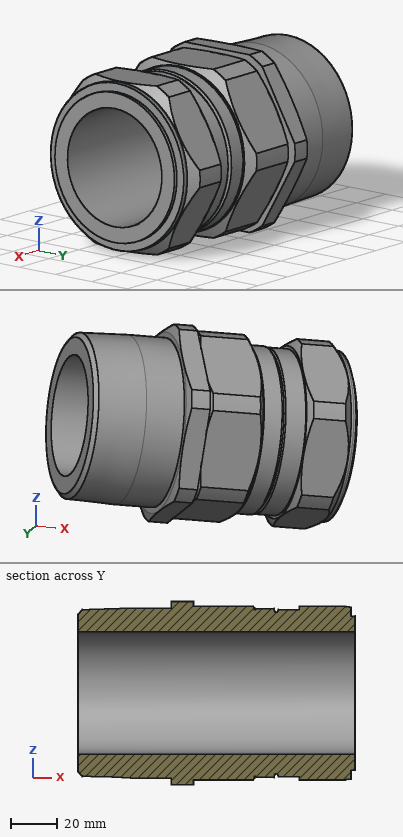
import cadquery as cq
import math


entry_chamfer_end = 1.8
taper_end = 23.0
collar_start = 40.2
collar_end = 49.8
body_hex_end = 76.0
ring_start = 76.4
groove_start = 84.5
groove_end = 86.3
cap_start = 95.3
cap_hex_end = 115.5
rim_step = 116.5
rim_end = 117.7
total_length = 119.4

bore_radius = 26.3
entry_face_radius = 33.9
taper_start_radius = 36.05
thread_radius = 36.75
body_neck_radius = 36.0
body_rear_face_radius = 36.8
ring_radius = 36.5
groove_radius = 35.0
sleeve_radius = 36.1
cap_rim_radius = 37.3
cap_lip_radius = 37.1
seal_radius = 33.3
groove_wall_run = 0.5

collar_flats = 79.0
collar_corner_radius = 86.86 / 2
nut_flats = 75.0
nut_corner_radius = 41.25

collar_chamfer_length = 1.3
collar_face_radius = 39.2
nut_front_chamfer_length = 2.0
nut_front_face_radius = 37.4
body_rear_chamfer_length = 2.8
cap_rear_chamfer_length = 3.8


def revolve_about_x(profile):
    return profile.close().revolve(360, (0, 0, 0), (1, 0, 0))


def turned(start, end, start_radius, end_radius):
    """Solid cylinder or cone between two stations."""
    profile = (
        cq.Workplane("XZ")
        .moveTo(start, 0)
        .lineTo(start, start_radius)
        .lineTo(end, end_radius)
        .lineTo(end, 0)
    )
    return revolve_about_x(profile)


def hexagon(start, end, flats, corner_radius, front_chamfer, front_radius, rear_chamfer, rear_radius):
    """Hexagonal prism with flats facing +Z and -Z, its corners turned and chamfered."""
    corner_diameter = flats / math.cos(math.radians(30))
    prism = (
        cq.Workplane("YZ")
        .workplane(offset=start)
        .polygon(6, corner_diameter)
        .extrude(end - start)
    )
    envelope = (
        cq.Workplane("XZ")
        .moveTo(start, 0)
        .lineTo(start, front_radius)
        .lineTo(start + front_chamfer, corner_radius)
        .lineTo(end - rear_chamfer, corner_radius)
    )
    if rear_chamfer > 0:
        envelope = envelope.lineTo(end, rear_radius)
    envelope = envelope.lineTo(end, 0)
    return prism.intersect(revolve_about_x(envelope))


def threaded_entry():
    chamfer = turned(0, entry_chamfer_end, entry_face_radius, taper_start_radius)
    taper = turned(entry_chamfer_end, taper_end, taper_start_radius, thread_radius)
    thread = turned(taper_end, collar_start, thread_radius, thread_radius)
    return chamfer.union(taper).union(thread)


def collar():
    return hexagon(
        collar_start, collar_end, collar_flats, collar_corner_radius,
        collar_chamfer_length, collar_face_radius, 0, collar_corner_radius,
    )


def body():
    nut = hexagon(
        collar_end, body_hex_end, nut_flats, nut_corner_radius,
        nut_front_chamfer_length, nut_front_face_radius, body_rear_chamfer_length, body_rear_face_radius,
    )
    neck = turned(body_hex_end, ring_start, body_neck_radius, body_neck_radius)
    ring = turned(ring_start, groove_start, ring_radius, ring_radius)
    return nut.union(neck).union(ring)


def grooved_sleeve():
    floor_start = groove_start + groove_wall_run
    floor_end = groove_end - groove_wall_run
    front_wall = turned(groove_start, floor_start, ring_radius, groove_radius)
    floor = turned(floor_start, floor_end, groove_radius, groove_radius)
    rear_wall = turned(floor_end, groove_end, groove_radius, sleeve_radius)
    sleeve = turned(groove_end, cap_start, sleeve_radius, sleeve_radius)
    return front_wall.union(floor).union(rear_wall).union(sleeve)


def cap():
    nut = hexagon(
        cap_start, cap_hex_end, nut_flats, nut_corner_radius,
        nut_front_chamfer_length, nut_front_face_radius, cap_rear_chamfer_length, cap_rim_radius,
    )
    rim = turned(cap_hex_end, rim_step, cap_rim_radius, cap_rim_radius)
    lip = turned(rim_step, rim_end, cap_rim_radius, cap_lip_radius)
    seal = turned(rim_end, total_length, seal_radius, seal_radius)
    return nut.union(rim).union(lip).union(seal)


bore = turned(0, total_length, bore_radius, bore_radius)
outside = threaded_entry().union(collar()).union(body()).union(grooved_sleeve()).union(cap())
result = outside.cut(bore)